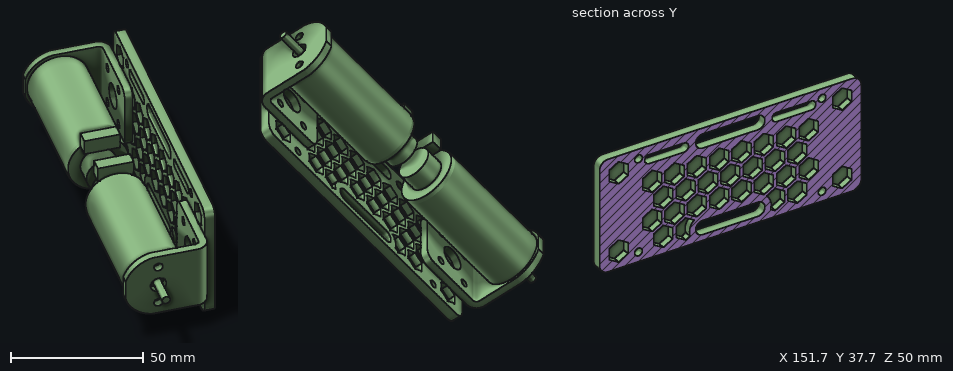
import cadquery as cq
import math


PLATE_LENGTH = 117.3
PLATE_HEIGHT = 50.0
PLATE_THICKNESS = 4.2
PLATE_CORNER_RADIUS = 4.0
CENTER_SLOT_LENGTH = 30.8
CENTER_SLOT_WIDTH = 6.0
CENTER_SLOT_Z = 19.15
SIDE_SLOT_LENGTH = 19.4
SIDE_SLOT_WIDTH = 3.8
SIDE_SLOT_X = 28.5
SIDE_SLOT_Z = 18.95
PLATE_HOLE_DIAMETER = 3.2
PLATE_HOLE_X = 41.1
PLATE_HOLE_Z = 20.6

HEX_PITCH = 10.0
HEX_ROW_PITCH = HEX_PITCH * math.sqrt(3) / 2
HEX_WALL = 1.7
HEX_CORNER_DIAMETER = (HEX_PITCH - HEX_WALL) * 2 / math.sqrt(3)
HEX_DEPTH = 3.0
SLOT_RIM = 3.0

BRACKET_THICKNESS = 3.2
BRACKET_HEIGHT = 27.0
BRACKET_OUTER_X = 66.0
FOOT_LENGTH = 32.5
BEND_OUTER_RADIUS = 5.0
BEND_INNER_RADIUS = BEND_OUTER_RADIUS - BRACKET_THICKNESS
FOOT_CORNER_RADIUS = 4.0
ARM_ROUND_RADIUS = 13.7
ARM_REACH = 13.0
FOOT_HOLE_DIAMETER = 3.2
FOOT_HOLE_SPACING_X = 14.0
FOOT_HOLE_SPACING_Z = 16.5
FOOT_BORE_DIAMETER = 10.0
FOOT_HOLES_X = 48.7
SHAFT_CLEARANCE_DIAMETER = 6.2
MOTOR_SCREW_SPACING = 17.0
SCREW_CLEARANCE_DIAMETER = 3.4

MOTOR_DIAMETER = 24.6
MOTOR_LENGTH = 51.6
MOTOR_RIM_LENGTH = 1.8
MOTOR_RIM_TAPER = 0.3
REAR_BOSS_DIAMETER = 14.2
REAR_BOSS_LENGTH = 7.8
SHAFT_DIAMETER = 3.2
TOTAL_LENGTH = 151.66
SHAFT_TIP_X = TOTAL_LENGTH / 2
SCREW_HOLE_DIAMETER = 2.5
SCREW_HOLE_DEPTH = 6.0
DRILL_TIP_LENGTH = 0.75

TERMINAL_LENGTH = 5.0
TERMINAL_WIDTH = REAR_BOSS_DIAMETER
TERMINAL_BOTTOM_Z = 9.85
TERMINAL_TOP_Z = 16.15

TOTAL_DEPTH = 37.7
PLATE_BACK_Y = TOTAL_DEPTH - ARM_REACH
PLATE_FRONT_Y = PLATE_BACK_Y - PLATE_THICKNESS
FOOT_FRONT_Y = PLATE_FRONT_Y - BRACKET_THICKNESS
MOTOR_FRONT_X = BRACKET_OUTER_X - BRACKET_THICKNESS
MOTOR_REAR_X = MOTOR_FRONT_X - MOTOR_LENGTH
SCREW_POINTS = [(0, z * MOTOR_SCREW_SPACING / 2) for z in (-1, 1)]


def facing_front(y):
    """XZ sketch plane at the given Y; it extrudes toward -Y."""
    return cq.Workplane("XZ", origin=(0, y, 0))


def facing_side(x):
    """YZ sketch plane at the given X; it extrudes toward +X."""
    return cq.Workplane("YZ", origin=(x, 0, 0))


def make_hex_pockets(centers):
    """Hexagonal prisms standing on a corner, reaching from the plate front to the pocket floor."""
    pocket = facing_front(PLATE_FRONT_Y).polygon(6, HEX_CORNER_DIAMETER).extrude(-HEX_DEPTH)
    pocket = pocket.rotate((0, 0, 0), (0, 1, 0), 90)
    return [pocket.translate((x, 0, z)) for x, z in centers]


def make_plate():
    plate = (
        facing_front(PLATE_BACK_Y)
        .rect(PLATE_LENGTH, PLATE_HEIGHT)
        .extrude(PLATE_THICKNESS)
        .edges("|Y")
        .fillet(PLATE_CORNER_RADIUS)
    )
    center_slot_points = [(0, -CENTER_SLOT_Z), (0, CENTER_SLOT_Z)]
    side_slot_points = [(-SIDE_SLOT_X, SIDE_SLOT_Z), (SIDE_SLOT_X, SIDE_SLOT_Z)]

    middle_row = [(i * HEX_PITCH, 0) for i in range(-3, 4)]
    offset_rows = [((i + 0.5) * HEX_PITCH, side * HEX_ROW_PITCH) for side in (-1, 1) for i in range(-4, 4)]
    corners = [(x * HEX_PITCH, row * HEX_ROW_PITCH) for x in (-5, 5) for row in (-2, 2)]
    pockets = make_hex_pockets(middle_row + offset_rows + corners)

    slot_rim = (
        facing_front(PLATE_BACK_Y)
        .center(0, -CENTER_SLOT_Z)
        .slot2D(CENTER_SLOT_LENGTH + 2 * SLOT_RIM, CENTER_SLOT_WIDTH + 2 * SLOT_RIM)
        .extrude(PLATE_THICKNESS)
    )
    lower_pairs = [(i * HEX_PITCH, -2 * HEX_ROW_PITCH) for i in (-3, -2, 2, 3)]
    pockets += [pocket.cut(slot_rim) for pocket in make_hex_pockets(lower_pairs)]
    for pocket in pockets:
        plate = plate.cut(pocket)

    openings = (
        facing_front(PLATE_BACK_Y)
        .pushPoints(center_slot_points)
        .slot2D(CENTER_SLOT_LENGTH, CENTER_SLOT_WIDTH)
        .extrude(PLATE_THICKNESS)
        .union(
            facing_front(PLATE_BACK_Y)
            .pushPoints(side_slot_points)
            .slot2D(SIDE_SLOT_LENGTH, SIDE_SLOT_WIDTH)
            .extrude(PLATE_THICKNESS)
        )
        .union(
            facing_front(PLATE_BACK_Y)
            .rect(2 * PLATE_HOLE_X, 2 * PLATE_HOLE_Z, forConstruction=True)
            .vertices()
            .circle(PLATE_HOLE_DIAMETER / 2)
            .extrude(PLATE_THICKNESS)
        )
    )
    return plate.cut(openings)


def make_bracket_outline():
    """Side outline of the bracket, extruded along X over the whole bracket."""
    half_height = BRACKET_HEIGHT / 2
    round_start_y = -math.sqrt(ARM_ROUND_RADIUS**2 - half_height**2)
    flat_half_height = math.sqrt(ARM_ROUND_RADIUS**2 - ARM_REACH**2)
    round_middle = ARM_ROUND_RADIUS * math.sqrt(0.5)
    return (
        facing_side(BRACKET_OUTER_X - FOOT_LENGTH)
        .moveTo(PLATE_FRONT_Y, -half_height)
        .lineTo(round_start_y, -half_height)
        .threePointArc((-round_middle, -round_middle), (-ARM_REACH, -flat_half_height))
        .lineTo(-ARM_REACH, flat_half_height)
        .threePointArc((-round_middle, round_middle), (round_start_y, half_height))
        .lineTo(PLATE_FRONT_Y, half_height)
        .close()
        .extrude(FOOT_LENGTH)
    )


def make_bracket():
    """Bracket on the +X side: foot against the plate, arm across the motor axis."""
    bracket = (
        cq.Workplane("XY", origin=(0, 0, -BRACKET_HEIGHT / 2))
        .moveTo(BRACKET_OUTER_X, -ARM_REACH)
        .lineTo(BRACKET_OUTER_X, PLATE_FRONT_Y)
        .lineTo(BRACKET_OUTER_X - FOOT_LENGTH, PLATE_FRONT_Y)
        .lineTo(BRACKET_OUTER_X - FOOT_LENGTH, FOOT_FRONT_Y)
        .lineTo(MOTOR_FRONT_X, FOOT_FRONT_Y)
        .lineTo(MOTOR_FRONT_X, -ARM_REACH)
        .close()
        .extrude(BRACKET_HEIGHT)
    )
    bracket = bracket.edges("|Z").edges(">X and >Y").fillet(BEND_OUTER_RADIUS)
    inner_bend = cq.selectors.NearestToPointSelector((MOTOR_FRONT_X, FOOT_FRONT_Y, 0))
    bracket = bracket.edges("|Z").edges(inner_bend).fillet(BEND_INNER_RADIUS)
    bracket = bracket.faces("<X").edges("|Y").fillet(FOOT_CORNER_RADIUS)
    bracket = bracket.intersect(make_bracket_outline())

    foot_holes = (
        facing_front(PLATE_FRONT_Y)
        .center(FOOT_HOLES_X, 0)
        .rect(FOOT_HOLE_SPACING_X, FOOT_HOLE_SPACING_Z, forConstruction=True)
        .vertices()
        .circle(FOOT_HOLE_DIAMETER / 2)
        .extrude(BRACKET_THICKNESS)
    )
    foot_bore = (
        facing_front(PLATE_FRONT_Y)
        .center(FOOT_HOLES_X, 0)
        .circle(FOOT_BORE_DIAMETER / 2)
        .extrude(BRACKET_THICKNESS)
    )
    shaft_hole = facing_side(MOTOR_FRONT_X).circle(SHAFT_CLEARANCE_DIAMETER / 2).extrude(BRACKET_THICKNESS)
    screw_holes = (
        facing_side(MOTOR_FRONT_X)
        .pushPoints(SCREW_POINTS)
        .circle(SCREW_CLEARANCE_DIAMETER / 2)
        .extrude(BRACKET_THICKNESS)
    )
    return bracket.cut(foot_holes).cut(foot_bore).cut(shaft_hole).cut(screw_holes)


def make_motor():
    """Motor on the +X side, revolved about X, shaft toward +X."""
    body_radius = MOTOR_DIAMETER / 2
    boss_radius = REAR_BOSS_DIAMETER / 2
    shaft_radius = SHAFT_DIAMETER / 2
    boss_end_x = MOTOR_REAR_X - REAR_BOSS_LENGTH
    motor = (
        cq.Workplane("XZ")
        .moveTo(boss_end_x, 0)
        .lineTo(boss_end_x, boss_radius)
        .lineTo(MOTOR_REAR_X, boss_radius)
        .lineTo(MOTOR_REAR_X, body_radius - MOTOR_RIM_TAPER)
        .lineTo(MOTOR_REAR_X + MOTOR_RIM_LENGTH, body_radius)
        .lineTo(MOTOR_FRONT_X, body_radius)
        .lineTo(MOTOR_FRONT_X, shaft_radius)
        .lineTo(SHAFT_TIP_X, shaft_radius)
        .lineTo(SHAFT_TIP_X, 0)
        .close()
        .revolve(360, (0, 0, 0), (1, 0, 0))
    )
    screw_hole = (
        cq.Workplane("XY")
        .moveTo(MOTOR_FRONT_X, 0)
        .lineTo(MOTOR_FRONT_X, SCREW_HOLE_DIAMETER / 2)
        .lineTo(MOTOR_FRONT_X - SCREW_HOLE_DEPTH, SCREW_HOLE_DIAMETER / 2)
        .lineTo(MOTOR_FRONT_X - SCREW_HOLE_DEPTH - DRILL_TIP_LENGTH, 0)
        .close()
        .revolve(360, (0, 0, 0), (1, 0, 0))
    )
    for y, z in SCREW_POINTS:
        motor = motor.cut(screw_hole.translate((0, y, z)))
    return motor


def make_terminal_block():
    """Block on the +X motor's rear face, standing above its rim."""
    return (
        facing_side(MOTOR_REAR_X - TERMINAL_LENGTH)
        .center(0, (TERMINAL_BOTTOM_Z + TERMINAL_TOP_Z) / 2)
        .rect(TERMINAL_WIDTH, TERMINAL_TOP_Z - TERMINAL_BOTTOM_Z)
        .extrude(TERMINAL_LENGTH)
    )


bodies = [make_plate().val()]
for make_part in (make_bracket, make_motor, make_terminal_block):
    part = make_part()
    bodies += [part.val(), part.mirror("YZ").val()]

result = cq.Compound.makeCompound(bodies)